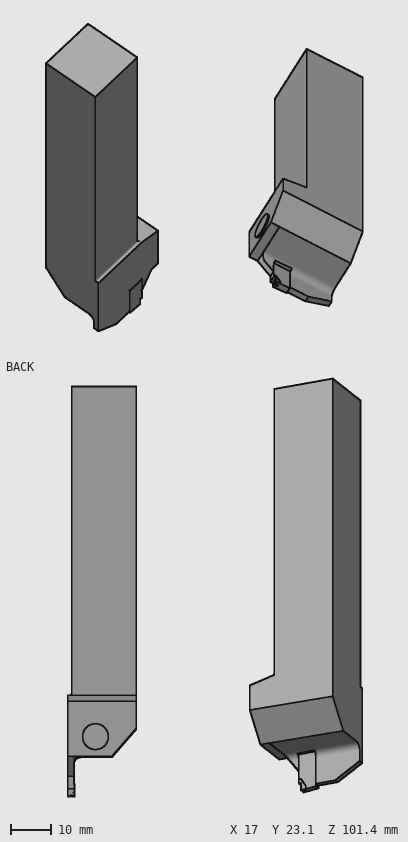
import cadquery as cq
import math

TOTAL_LENGTH = 101.4
SHANK_SIDE = 16.0
HEAD_WIDTH = 17.0
HEAD_DEPTH = 22.7
HEAD_SHOULDER_Z = 25.0
HEAD_BACK_Z = 23.5
SHOULDER_FILLET = 0.4
SHOULDER_LEDGE = 0.5

UNDERSIDE_Z = 9.9
UNDERSIDE_TILT = 0.7
CHAMFER_WIDTH = 6.1
CHAMFER_HEIGHT = 7.0
BLADE_THICKNESS = 1.5
BLADE_FILLET = 1.8
BLADE_BOTTOM_Z = 1.1
BLADE_FRONT_Z = 5.1
BLADE_BEVEL_DEPTH = 6.7
BLADE_BACK_Y = 20.3
BLADE_LEFT_X = HEAD_WIDTH - BLADE_THICKNESS

INSERT_FRONT_Y = 12.0
INSERT_BACK_Y = 16.6
INSERT_TOP_Z = 9.6
INSERT_SEAT_Z = 5.1
INSERT_HEEL_Z = 0.4
INSERT_THICKNESS = 1.6
TIP_WIDTH = 1.7
RAKE_Y = 16.0
RAKE_TOP_Z = 1.9
TIP_TOP_Z = 3.0
RELIEF_END_Y = 14.7
RELIEF_END_Z = 1.0
CHIP_NOTCH_WIDTH = 0.5
CHIP_NOTCH_HEIGHT = 0.3

PAD_DIAMETER = 6.4
PAD_HEIGHT = 23.1 - HEAD_DEPTH
PAD_X = 10.1
PAD_Z = 14.8


def side_prism(points, left_x, right_x):
    """Extrude a (y, z) outline along X between two planes."""
    outline = cq.Workplane("YZ", origin=(left_x, 0, 0)).polyline(points).close()
    return outline.extrude(right_x - left_x)


def head_blank():
    """Head and blade outline at the full head width."""
    points = [
        (0, BLADE_FRONT_Z),
        (BLADE_BEVEL_DEPTH, BLADE_BOTTOM_Z),
        (INSERT_FRONT_Y, BLADE_BOTTOM_Z),
        (INSERT_BACK_Y, INSERT_SEAT_Z),
        (BLADE_BACK_Y, UNDERSIDE_Z),
        (HEAD_DEPTH, UNDERSIDE_Z),
        (HEAD_DEPTH, HEAD_BACK_Z),
        (SHANK_SIDE + SHOULDER_LEDGE, HEAD_SHOULDER_Z),
        (0, HEAD_SHOULDER_Z),
    ]
    return side_prism(points, 0, HEAD_WIDTH)


def underside_cutter():
    """Space left of the blade and under the head, with corner chamfer and root fillet."""
    margin = 2.0
    slope = CHAMFER_HEIGHT / CHAMFER_WIDTH
    arc_inset = BLADE_FILLET * (1 - math.sqrt(0.5))
    outline = (
        cq.Workplane("XZ", origin=(0, HEAD_DEPTH + margin, 0))
        .moveTo(-margin, -margin)
        .lineTo(-margin, UNDERSIDE_Z + CHAMFER_HEIGHT + margin * slope)
        .lineTo(CHAMFER_WIDTH, UNDERSIDE_Z)
        .lineTo(BLADE_LEFT_X - BLADE_FILLET, UNDERSIDE_Z)
        .threePointArc(
            (BLADE_LEFT_X - arc_inset, UNDERSIDE_Z - arc_inset),
            (BLADE_LEFT_X, UNDERSIDE_Z - BLADE_FILLET),
        )
        .lineTo(BLADE_LEFT_X, -margin)
        .close()
    )
    cutter = outline.extrude(HEAD_DEPTH + 2 * margin)
    pivot = (0, HEAD_DEPTH, UNDERSIDE_Z)
    return cutter.rotate(pivot, (1, HEAD_DEPTH, UNDERSIDE_Z), UNDERSIDE_TILT)


def insert_clearance():
    """Gap through the blade's root fillet that clears the insert's left face."""
    root_x = BLADE_LEFT_X - BLADE_FILLET
    return cq.Workplane("XY", origin=(root_x, INSERT_FRONT_Y, INSERT_SEAT_Z)).box(
        HEAD_WIDTH - INSERT_THICKNESS - root_x,
        INSERT_BACK_Y - INSERT_FRONT_Y,
        INSERT_TOP_Z - INSERT_SEAT_Z,
        centered=False,
    )


def make_insert():
    """Upright bar with a wider, notched cutting tip."""
    sole_slope = INSERT_HEEL_Z / (RAKE_Y - INSERT_FRONT_Y)
    bar = side_prism(
        [
            (INSERT_FRONT_Y, INSERT_HEEL_Z),
            (RAKE_Y, 0),
            (RAKE_Y, RAKE_TOP_Z),
            (INSERT_BACK_Y, RAKE_TOP_Z),
            (INSERT_BACK_Y, INSERT_TOP_Z),
            (INSERT_FRONT_Y, INSERT_TOP_Z),
        ],
        HEAD_WIDTH - INSERT_THICKNESS,
        HEAD_WIDTH,
    )
    tip = side_prism(
        [
            (RELIEF_END_Y, (RAKE_Y - RELIEF_END_Y) * sole_slope),
            (RAKE_Y, 0),
            (RAKE_Y, RAKE_TOP_Z),
            (INSERT_BACK_Y, RAKE_TOP_Z),
            (INSERT_BACK_Y, TIP_TOP_Z),
            (RAKE_Y, TIP_TOP_Z),
            (RELIEF_END_Y, RELIEF_END_Z),
        ],
        HEAD_WIDTH - TIP_WIDTH,
        HEAD_WIDTH,
    )
    notch_x = HEAD_WIDTH - TIP_WIDTH / 2
    chip_notch = side_prism(
        [
            (RELIEF_END_Y, 0),
            (RAKE_Y, 0),
            (RAKE_Y, CHIP_NOTCH_HEIGHT),
        ],
        notch_x - CHIP_NOTCH_WIDTH / 2,
        notch_x + CHIP_NOTCH_WIDTH / 2,
    )
    return bar.union(tip).cut(chip_notch)


def make_holder(insert):
    """Square shank with the head, blade and back pad, pocketed for the insert."""
    shank = cq.Workplane("XY", origin=(0, 0, HEAD_BACK_Z)).box(
        SHANK_SIDE, SHANK_SIDE, TOTAL_LENGTH - HEAD_BACK_Z, centered=False
    )
    body = shank.union(head_blank())
    margin = 0.1
    shoulder_edges = cq.selectors.BoxSelector(
        (-margin, -margin, HEAD_SHOULDER_Z - margin),
        (SHANK_SIDE + margin, SHANK_SIDE + margin, HEAD_SHOULDER_Z + margin),
    )
    body = body.edges(shoulder_edges).fillet(SHOULDER_FILLET)
    body = body.cut(underside_cutter()).cut(insert_clearance())
    pad = (
        cq.Workplane("XZ", origin=(PAD_X, HEAD_DEPTH, PAD_Z))
        .circle(PAD_DIAMETER / 2)
        .extrude(-PAD_HEIGHT)
    )
    return body.union(pad).cut(insert)


insert = make_insert()
holder = make_holder(insert)
result = cq.Compound.makeCompound([holder.solids().val(), insert.solids().val()])